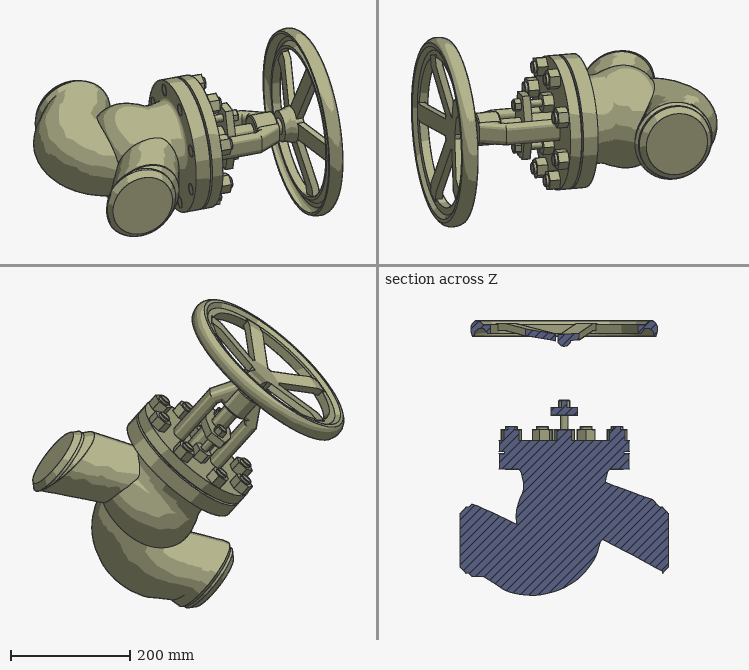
import cadquery as cq
import math


FACE_TO_FACE = 350.0
PIPE_FACE_X = FACE_TO_FACE / 2
WELD_FACE_RADIUS = 53.5
WELD_STEP_RADIUS = 58.0
WELD_RING_RADIUS = 63.0
WELD_STEP_LENGTH = 5.0
WELD_BEVEL_LENGTH = 10.0
WELD_RING_LENGTH = 15.0
INLET_FLARE_LENGTH = 5.0
INLET_COLLAR_RADIUS = 67.5
OUTLET_FLARE_LENGTH = 20.0

BODY_FLANGE_BOTTOM = 119.6
BODY_FLANGE_TOP = 145.2
BONNET_BOTTOM = 148.8
BONNET_TOP = 167.8
FLANGE_RADIUS = 113.0
GASKET_RADIUS = 105.0
BODY_RADIUS = 86.4
BODY_WIDEST = 42.0
BODY_FLOOR = -14.0
BODY_FLOOR_RADIUS = 49.0
NECK_RADIUS = 74.5
NECK_WAIST = 91.0
NECK_WAIST_LENGTH = 4.4
NECK_FLARE_RADIUS = 84.5

BOLT_COUNT = 8
BOLT_CIRCLE_RADIUS = 96.0
BOLT_RADIUS = 10.0
BOLT_TIP = 191.2
BOLT_TIP_CHAMFER = 1.0
BOLT_END_PROUD = 0.6
NUT_ACROSS_FLATS = 30.0
NUT_HEIGHT = 18.0

SLEEVE_RADIUS = 18.8
GLAND_BOTTOM = 209.6
GLAND_TOP = 223.0
GLAND_HALF_LENGTH = 55.6
GLAND_HALF_WIDTH = 26.8
GLAND_END_HALF_WIDTH = 14.4
GLAND_WAIST_HALF_LENGTH = 15.0
GLAND_STUD_OFFSET = 37.0
GLAND_STUD_RADIUS = 6.5
GLAND_NUT_ACROSS_FLATS = 18.5
GLAND_NUT_HEIGHT = 12.4
GLAND_NUT_CHAMFER = 1.5

STEM_RADIUS = 14.0
YOKE_BOTTOM = 262.0
YOKE_TOP = 302.0
YOKE_HUB_RADIUS = 27.4
YOKE_HUB_CHAMFER = 2.0
YOKE_OUTER_X = 50.6
YOKE_INNER_X = 29.2
YOKE_SHOULDER = 262.0
YOKE_DEPTH = 36.0
YOKE_ROUNDING = 9.0

WHEEL_TOP = 368.53
WHEEL_BOTTOM = 342.4
WHEEL_RADIUS = 160.0
WHEEL_INNER_RADIUS = 127.0
WHEEL_WIDEST = 355.0
WHEEL_TOP_EDGE_RADIUS = 152.0
WHEEL_LIP_RADIUS = 157.0
WHEEL_CHANNEL_RADIUS = 146.0
WHEEL_WEB_INNER_RADIUS = 139.0
INNER_LIP_RADIUS = 132.0
WHEEL_LIP_INNER_RADIUS = 153.0
WHEEL_WEB_UNDERSIDE = 355.0
WHEEL_WEB_TOP = 362.0
INNER_LIP_BOTTOM = 347.0
HUB_BOTTOM = 312.6
HUB_WAIST = 326.0
HUB_SHOULDER = 332.0
HUB_TOP = 346.0
HUB_BOTTOM_RADIUS = 26.6
HUB_SHOULDER_RADIUS = 31.0
SPOKE_COUNT = 5
SPOKE_WIDTH = 30.0
SPOKE_ROOT_BOTTOM = 333.5
SPOKE_THICKNESS = 12.0
SPOKE_RIM_OVERLAP = 4.0
SPOKE_ROOT_RADIUS = 24.0
SPOKE_KNEE_RADIUS = 112.0
SPOKE_KNEE_BOTTOM = 352.0

STEM_AXIS = ((0, 0, 0), (0, 1, 0))


def about_stem(profile):
    """Revolve a half profile drawn in the XY plane about the stem axis."""
    return profile.close().revolve(360, *STEM_AXIS)


def level(height):
    """Workplane normal to +Y at the given height, with local y along -Z."""
    return cq.Workplane("XZ", origin=(0, height, 0)).transformed(rotate=(180, 0, 0))


def disc(radius, bottom, top, x=0.0, z=0.0):
    """Round bar along Y between two heights."""
    bar = cq.Solid.makeCylinder(radius, top - bottom, cq.Vector(x, bottom, z), cq.Vector(0, 1, 0))
    return cq.Workplane("XY").add(bar)


def hex_bar(across_flats, bottom, height, turn=0.0):
    """Hexagon prism on the Y axis, with corners along X before turning."""
    across_corners = across_flats / math.cos(math.radians(30))
    prism = level(bottom).polygon(6, across_corners).extrude(height)
    return prism.rotate(*STEM_AXIS, turn)


def oval_section(top_point, bottom_point, half_depth):
    """Elliptical wire spanning two points of the XY plane, half_depth wide to each side in Z."""
    upper = cq.Vector(*top_point)
    lower = cq.Vector(*bottom_point)
    across = lower - upper
    normal = across.cross(cq.Vector(0, 0, 1))
    return cq.Wire.makeEllipse(across.Length / 2, half_depth, (upper + lower) / 2, normal, across)


def loft(sections, ruled):
    """Skin a solid over oval sections, straight between them if ruled."""
    wires = [oval_section(*section) for section in sections]
    return cq.Workplane("XY").add(cq.Solid.makeLoft(wires, ruled))


def make_body():
    """Bulbous body with a waisted neck running up to the body flange."""
    return about_stem(
        cq.Workplane("XY")
        .moveTo(0, BODY_FLOOR)
        .lineTo(BODY_FLOOR_RADIUS, BODY_FLOOR)
        .threePointArc((BODY_RADIUS, BODY_WIDEST), (83.8, 58))
        .threePointArc((81.3, 68), (77, 77.5))
        .threePointArc((75.1, 84), (NECK_RADIUS, NECK_WAIST))
        .lineTo(NECK_RADIUS, NECK_WAIST + NECK_WAIST_LENGTH)
        .lineTo(78.5, 114)
        .threePointArc((80.7, 117.5), (NECK_FLARE_RADIUS, BODY_FLANGE_BOTTOM))
        .lineTo(0, BODY_FLANGE_BOTTOM)
    )


def make_weld_end(flare_length, flare_radius):
    """Bevelled weld end facing +X, with a ring flaring outward behind it."""
    ring_x = PIPE_FACE_X - WELD_RING_LENGTH
    flare_x = ring_x - flare_length
    return (
        cq.Workplane("XY")
        .moveTo(PIPE_FACE_X, 0)
        .lineTo(PIPE_FACE_X, WELD_FACE_RADIUS)
        .lineTo(PIPE_FACE_X - WELD_STEP_LENGTH, WELD_STEP_RADIUS)
        .lineTo(PIPE_FACE_X - WELD_BEVEL_LENGTH, WELD_RING_RADIUS)
        .lineTo(ring_x, WELD_RING_RADIUS)
        .lineTo(flare_x, flare_radius)
        .lineTo(flare_x, 0)
        .close()
        .revolve(360, (0, 0, 0), (1, 0, 0))
    )


def make_inlet():
    """Weld end, flared collar and tapering bend that curls up into the bottom of the body."""
    weld_end = make_weld_end(INLET_FLARE_LENGTH, INLET_COLLAR_RADIUS).mirror("YZ")
    collar_x = -PIPE_FACE_X + WELD_RING_LENGTH + INLET_FLARE_LENGTH
    collar_start = ((collar_x, INLET_COLLAR_RADIUS), (collar_x, -INLET_COLLAR_RADIUS), INLET_COLLAR_RADIUS)
    collar_middle = ((-146, 65), (-135, -68), 66.0)
    bend_start = ((-138.5, 61.5), (-113, -82), 65.0)
    collar = loft([collar_start, collar_middle, bend_start], True)
    bend = loft(
        [
            bend_start,
            ((-92, 40), (-54, -100.8), 64.0),
            ((-66, 31), (30, -70), 62.5),
            ((-50, 38), (68, -10), 58.5),
            ((-50, 52), (68, 38), 50.0),
        ],
        False,
    )
    return weld_end.union(collar).union(bend)


def make_outlet():
    """Oval branch sloping down from the body, cut obliquely where it meets the outlet weld end."""
    branch_start = ((38, 117), (64, -6), 58.0)
    joint_top = cq.Vector(147.5, 76)
    joint_bottom = cq.Vector(166, -60)
    branch = loft([branch_start, (joint_top.toTuple(), joint_bottom.toTuple(), 64.0)], True)
    overrun = (joint_top - joint_bottom) / 2
    upper = joint_top + overrun
    lower = joint_bottom - overrun
    beyond_joint = (
        cq.Workplane("XY")
        .polyline([(upper.x, upper.y), (lower.x, lower.y), (PIPE_FACE_X, lower.y), (PIPE_FACE_X, upper.y)])
        .close()
        .extrude(FLANGE_RADIUS, both=True)
    )
    weld_end = make_weld_end(OUTLET_FLARE_LENGTH, WELD_RING_RADIUS + OUTLET_FLARE_LENGTH)
    return branch.union(weld_end.intersect(beyond_joint))


def make_flanges():
    body_flange = disc(FLANGE_RADIUS, BODY_FLANGE_BOTTOM, BODY_FLANGE_TOP)
    gasket = disc(GASKET_RADIUS, BODY_FLANGE_TOP, BONNET_BOTTOM)
    bonnet_flange = disc(FLANGE_RADIUS, BONNET_BOTTOM, BONNET_TOP)
    return body_flange.union(gasket).union(bonnet_flange)


def make_flange_bolts():
    pitch = 360.0 / BOLT_COUNT
    nut = hex_bar(NUT_ACROSS_FLATS, BONNET_TOP, NUT_HEIGHT, pitch / 2)
    stud_bottom = BODY_FLANGE_BOTTOM - BOLT_END_PROUD
    stud = disc(BOLT_RADIUS, stud_bottom, BOLT_TIP).faces(">Y").chamfer(BOLT_TIP_CHAMFER)
    bolt = nut.union(stud).translate((BOLT_CIRCLE_RADIUS, 0, 0))
    bolts = cq.Workplane("XY")
    for i in range(BOLT_COUNT):
        bolts = bolts.add(bolt.rotate(*STEM_AXIS, (i + 0.5) * pitch))
    return bolts.combine()


def make_gland():
    """Packing sleeve, tapered two-stud gland flange, and its studs and nuts."""
    corners = [
        (GLAND_END_HALF_WIDTH, GLAND_HALF_LENGTH),
        (GLAND_HALF_WIDTH, GLAND_WAIST_HALF_LENGTH),
        (GLAND_HALF_WIDTH, -GLAND_WAIST_HALF_LENGTH),
        (GLAND_END_HALF_WIDTH, -GLAND_HALF_LENGTH),
    ]
    opposite = [(-x, y) for x, y in reversed(corners)]
    flange = level(GLAND_BOTTOM).polyline(corners + opposite).close().extrude(GLAND_TOP - GLAND_BOTTOM)
    gland = flange.union(disc(SLEEVE_RADIUS, BONNET_TOP, GLAND_BOTTOM))
    base_nut = hex_bar(NUT_ACROSS_FLATS, BONNET_TOP, NUT_HEIGHT)
    top_nut = hex_bar(GLAND_NUT_ACROSS_FLATS, GLAND_TOP, GLAND_NUT_HEIGHT, 90)
    top_nut = top_nut.faces(">Y").chamfer(GLAND_NUT_CHAMFER)
    fastener = base_nut.union(top_nut).union(disc(GLAND_STUD_RADIUS, BONNET_TOP, GLAND_TOP))
    for side in (-1, 1):
        gland = gland.union(fastener.translate((0, 0, side * GLAND_STUD_OFFSET)))
    return gland


def make_yoke():
    """Two rounded legs bent in to a stem-nut hub, each with a web filling its bend."""
    leg_width = YOKE_OUTER_X - YOKE_INNER_X
    mid_x = YOKE_INNER_X + leg_width / 2
    lean = math.atan2(YOKE_OUTER_X - YOKE_HUB_RADIUS, YOKE_TOP - YOKE_SHOULDER)
    inner_shoulder = YOKE_SHOULDER - leg_width * math.tan(lean / 2)
    inner_top_x = YOKE_INNER_X - (YOKE_TOP - inner_shoulder) * math.tan(lean)
    back = cq.Workplane("XY", origin=(0, 0, -YOKE_DEPTH / 2))
    leg = (
        back.moveTo(YOKE_INNER_X, BONNET_TOP)
        .lineTo(YOKE_OUTER_X, BONNET_TOP)
        .lineTo(YOKE_OUTER_X, YOKE_SHOULDER)
        .lineTo(YOKE_HUB_RADIUS, YOKE_TOP)
        .lineTo(inner_top_x, YOKE_TOP)
        .lineTo(YOKE_INNER_X, inner_shoulder)
        .close()
        .extrude(YOKE_DEPTH)
        .faces("|Z")
        .edges("not #Y")
        .fillet(YOKE_ROUNDING)
    )
    web = (
        back.moveTo(0, YOKE_BOTTOM)
        .lineTo(mid_x, YOKE_BOTTOM)
        .lineTo((YOKE_HUB_RADIUS + inner_top_x) / 2, YOKE_TOP)
        .lineTo(0, YOKE_TOP)
        .close()
        .extrude(YOKE_DEPTH)
        .faces("<Y")
        .edges("|X")
        .fillet(YOKE_ROUNDING)
    )
    arm = leg.union(web)
    hub = disc(YOKE_HUB_RADIUS, YOKE_BOTTOM, YOKE_TOP).faces("<Y or >Y").chamfer(YOKE_HUB_CHAMFER)
    return hub.union(arm).union(arm.mirror("YZ"))


def make_wheel_rim():
    """Rim with a bulged outside, a hollow underside and a shallower inner lip."""
    return about_stem(
        cq.Workplane("XY")
        .moveTo(WHEEL_INNER_RADIUS, WHEEL_WEB_TOP)
        .lineTo(WHEEL_WEB_INNER_RADIUS, WHEEL_WEB_TOP)
        .lineTo(WHEEL_CHANNEL_RADIUS, WHEEL_TOP)
        .lineTo(WHEEL_TOP_EDGE_RADIUS, WHEEL_TOP)
        .threePointArc((157.85, 362.8), (WHEEL_RADIUS, WHEEL_WIDEST))
        .threePointArc((159.23, 348.5), (WHEEL_LIP_RADIUS, WHEEL_BOTTOM))
        .lineTo(WHEEL_LIP_INNER_RADIUS, WHEEL_BOTTOM)
        .threePointArc((151, 351), (WHEEL_CHANNEL_RADIUS, WHEEL_WEB_UNDERSIDE))
        .lineTo(WHEEL_WEB_INNER_RADIUS, WHEEL_WEB_UNDERSIDE)
        .lineTo(INNER_LIP_RADIUS, INNER_LIP_BOTTOM)
        .lineTo(WHEEL_INNER_RADIUS, INNER_LIP_BOTTOM)
    )


def make_wheel_hub():
    return about_stem(
        cq.Workplane("XY")
        .moveTo(0, HUB_BOTTOM)
        .lineTo(HUB_BOTTOM_RADIUS, HUB_BOTTOM)
        .threePointArc((27.2, 320), (29.5, HUB_WAIST))
        .lineTo(HUB_SHOULDER_RADIUS, HUB_SHOULDER)
        .lineTo(HUB_SHOULDER_RADIUS, HUB_TOP)
        .lineTo(0, HUB_TOP)
    )


def make_wheel():
    wheel = make_wheel_rim().union(make_wheel_hub())
    underside = [
        (SPOKE_ROOT_RADIUS, SPOKE_ROOT_BOTTOM),
        (SPOKE_KNEE_RADIUS, SPOKE_KNEE_BOTTOM),
        (WHEEL_INNER_RADIUS + SPOKE_RIM_OVERLAP, SPOKE_KNEE_BOTTOM),
    ]
    upper_side = [(x, y + SPOKE_THICKNESS) for x, y in reversed(underside)]
    spoke = (
        cq.Workplane("XY", origin=(0, 0, -SPOKE_WIDTH / 2))
        .polyline(underside + upper_side)
        .close()
        .extrude(SPOKE_WIDTH)
    )
    for i in range(SPOKE_COUNT):
        wheel = wheel.union(spoke.rotate(*STEM_AXIS, i * 360.0 / SPOKE_COUNT))
    return wheel


stem = disc(STEM_RADIUS, BONNET_TOP, HUB_TOP)

result = make_body().union(make_inlet()).union(make_outlet())
result = result.union(make_flanges()).union(make_flange_bolts())
result = result.union(make_gland()).union(stem).union(make_yoke()).union(make_wheel())